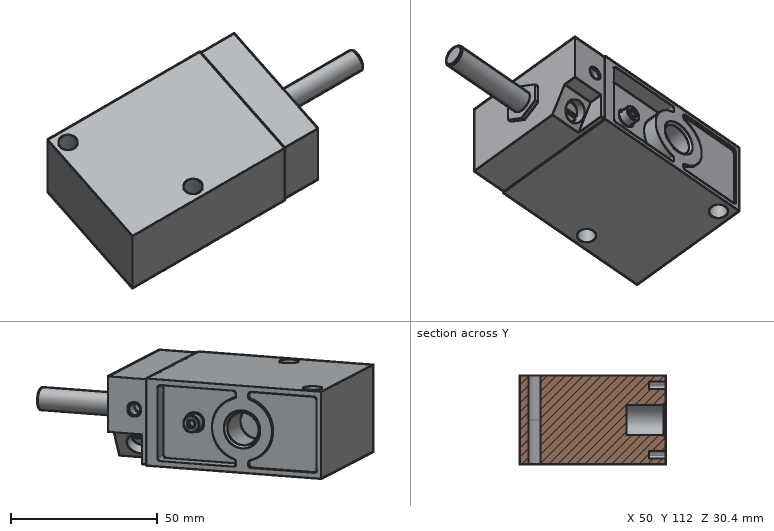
import cadquery as cq
import math

body_width = 50.0
body_length = 64.0
body_height = 30.4
cap_inset = 0.3
cap_length = 14.1
nut_length = 1.3
nut_across_flats = 13.2
cable_diameter = 8.0
cable_chamfer = 0.5
total_length = 112.0

mount_hole_diameter = 6.5
mount_hole_x = 19.9
front_hole_y = 5.0
rear_hole_y = 29.0

port_y = 28.9
port_diameter = 11.4
port_mouth_diameter = 13.2
port_depth = 13.4
port_collar_radius = 11.0

recess_half_height = 13.2
recess_corner_radius = 1.1
web_half_width = 2.2
front_recess_y = 1.7
front_recess_depth = 1.0
rear_recess_y = 59.8
rear_recess_depth = 5.7

screw_y = 48.4
screw_diameter = 5.8
screw_tip_chamfer = 0.2
screw_tip_depth = 2.2
screw_seat_diameter = 7.0
screw_bore_diameter = 2.5
screw_bore_mouth = 3.1
screw_bore_depth = 1.7

cap_hole_diameter = 4.1
cap_hole_mouth = 5.0
cap_hole_depth = 5.6
cap_hole_y = 68.4
cap_hole_z = 4.0

notch_top_z = -4.5
notch_start_y = 65.6
notch_depth = 5.0
notch_tilt = 30.0
terminal_y = 70.1
terminal_z = -9.7
terminal_hole_diameter = 8.2
terminal_hole_depth = 5.2
terminal_head_diameter = 7.5
terminal_head_chamfer = 0.2
terminal_head_height = 1.6
terminal_slot_width = 1.1
terminal_slot_depth = 0.9

side_x = -body_width / 2
cap_side_x = side_x + cap_inset
cap_height = body_height - 2 * cap_inset
cap_end_y = body_length + cap_length
nut_end_y = cap_end_y + nut_length


def side_plane(x, y, z):
    """Work plane on the -X side whose normal points into the part."""
    return cq.Plane(origin=(x, y, z), xDir=(0, 1, 0), normal=(1, 0, 0))


def end_plane(y):
    """Work plane across the part whose normal points along +Y."""
    return cq.Plane(origin=(0, y, 0), xDir=(1, 0, 0), normal=(0, 1, 0))


def countersink(plane, mouth_diameter, bore_diameter):
    """45 degree cone that narrows from the mouth to the bore along the plane normal."""
    depth = (mouth_diameter - bore_diameter) / 2
    cone = cq.Solid.makeCone(mouth_diameter / 2, bore_diameter / 2, depth, plane.origin, plane.zDir)
    return cq.Workplane(cone)


def countersunk_hole(plane, mouth_diameter, bore_diameter, depth):
    """Blind hole with a countersunk mouth, as a solid to cut away."""
    bore = cq.Workplane(plane).circle(bore_diameter / 2).extrude(depth)
    return bore.union(countersink(plane, mouth_diameter, bore_diameter))


def recess(far_y, depth):
    """Side pocket between the end wall at far_y and the round collar of the port."""
    toward_far = math.copysign(1, far_y - port_y)
    far = far_y - port_y
    near = toward_far * web_half_width
    collar_z = math.sqrt(port_collar_radius**2 - web_half_width**2)
    return (
        cq.Workplane(side_plane(side_x, port_y, 0))
        .moveTo(near, collar_z)
        .lineTo(near, recess_half_height)
        .lineTo(far, recess_half_height)
        .lineTo(far, -recess_half_height)
        .lineTo(near, -recess_half_height)
        .lineTo(near, -collar_z)
        .threePointArc((toward_far * port_collar_radius, 0), (near, collar_z))
        .close()
        .extrude(depth)
        .edges("|X")
        .fillet(recess_corner_radius)
    )


body = cq.Workplane(end_plane(0)).rect(body_width, body_height).extrude(body_length)
cap = cq.Workplane(end_plane(body_length)).rect(body_width - 2 * cap_inset, cap_height).extrude(cap_length)
nut = cq.Workplane(end_plane(cap_end_y)).polygon(6, nut_across_flats, circumscribed=True).extrude(nut_length)
cable = (
    cq.Workplane(end_plane(nut_end_y))
    .circle(cable_diameter / 2)
    .extrude(total_length - nut_end_y)
    .faces(">Y")
    .chamfer(cable_chamfer)
)
result = body.union(cap).union(nut).union(cable)

for x, y in [(-mount_hole_x, front_hole_y), (mount_hole_x, rear_hole_y)]:
    result = result.cut(
        cq.Workplane("XY", origin=(x, y, 0)).circle(mount_hole_diameter / 2).extrude(body_height, both=True)
    )

result = result.cut(recess(front_recess_y, front_recess_depth))
result = result.cut(recess(rear_recess_y, rear_recess_depth))
result = result.cut(
    countersunk_hole(side_plane(side_x, port_y, 0), port_mouth_diameter, port_diameter, port_depth)
)

seat_depth = (screw_seat_diameter - screw_diameter) / 2
floor_x = side_x + rear_recess_depth
tip_x = side_x + screw_tip_depth
seat = countersink(side_plane(floor_x, screw_y, 0), screw_seat_diameter, screw_diameter)
screw = (
    cq.Workplane(side_plane(tip_x, screw_y, 0))
    .circle(screw_diameter / 2)
    .extrude(floor_x + seat_depth - tip_x)
    .faces("<X")
    .chamfer(screw_tip_chamfer)
)
screw_bore = countersunk_hole(
    side_plane(tip_x, screw_y, 0), screw_bore_mouth, screw_bore_diameter, screw_bore_depth
)
result = result.cut(seat).union(screw).cut(screw_bore)

result = result.cut(
    countersunk_hole(
        side_plane(cap_side_x, cap_hole_y, cap_hole_z), cap_hole_mouth, cap_hole_diameter, cap_hole_depth
    )
)

notch_drop = notch_top_z + cap_height / 2
notch_run = notch_drop * math.tan(math.radians(notch_tilt))
notch = (
    cq.Workplane("XZ", origin=(0, notch_start_y, 0))
    .moveTo(cap_side_x, notch_top_z)
    .lineTo(cap_side_x + notch_depth, notch_top_z)
    .lineTo(cap_side_x + notch_depth + notch_run, -cap_height / 2)
    .lineTo(cap_side_x, -cap_height / 2)
    .close()
    .extrude(notch_start_y - cap_end_y)
)
result = result.cut(notch)

terminal_x = cap_side_x + notch_depth + (notch_top_z - terminal_z) * math.tan(math.radians(notch_tilt))
inward = cq.Vector(math.cos(math.radians(notch_tilt)), 0, math.sin(math.radians(notch_tilt)))
slope_plane = cq.Plane(origin=(terminal_x, terminal_y, terminal_z), xDir=(0, 1, 0), normal=inward)
terminal_hole = cq.Workplane(slope_plane).circle(terminal_hole_diameter / 2).extrude(terminal_hole_depth)
head_top = terminal_hole_depth - terminal_head_height
head = (
    cq.Workplane(slope_plane)
    .workplane(offset=head_top)
    .circle(terminal_head_diameter / 2)
    .extrude(terminal_head_height)
    .faces(cq.DirectionMinMaxSelector(inward, False))
    .chamfer(terminal_head_chamfer)
)
slot = (
    cq.Workplane(slope_plane)
    .workplane(offset=head_top)
    .rect(terminal_head_diameter, terminal_slot_width)
    .extrude(terminal_slot_depth)
)
result = result.cut(terminal_hole).union(head.cut(slot))